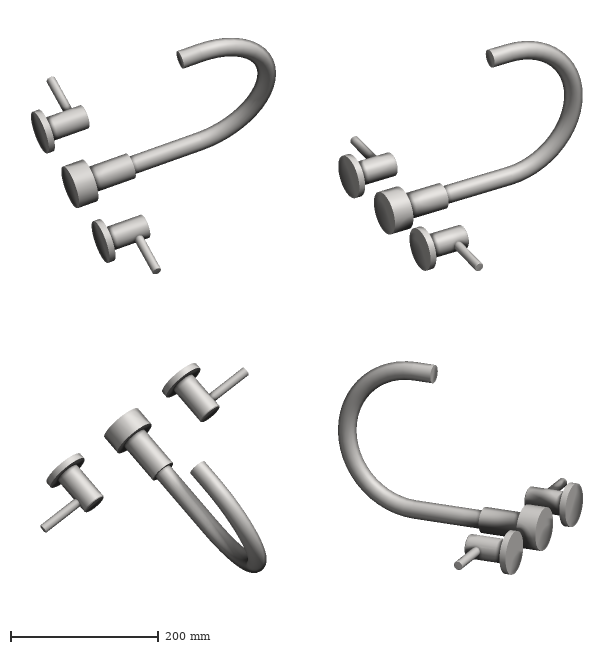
import cadquery as cq


OVERALL_WIDTH = 356.0
FLANGE_DIAMETER = 60.0

SPOUT_FLANGE_LENGTH = 28.5
SLEEVE_DIAMETER = 36.0
SLEEVE_END = 89.5
TUBE_DIAMETER = 25.3
BEND_RADIUS = 100.0
SPOUT_REACH = 304.3
OUTLET_LENGTH = 28.5
BEND_START = SPOUT_REACH - TUBE_DIAMETER / 2 - BEND_RADIUS

HANDLE_SPACING = 101.5
HANDLE_FLANGE_LENGTH = 9.0
HANDLE_DIAMETER = 33.5
HANDLE_END = 67.0
HANDLE_CHAMFER = 1.0
LEVER_DIAMETER = 12.8
LEVER_CENTER = 50.0
LEVER_CHAMFER = 0.7
LEVER_REACH = OVERALL_WIDTH / 2 - HANDLE_SPACING


def cylinder_along_y(diameter, end):
    """Round bar from the wall plane to Y = end."""
    return cq.Workplane("XZ").circle(diameter / 2).extrude(-end)


def make_spout():
    """Stepped base and a tube that bends back over itself through a half circle."""
    flange = cylinder_along_y(FLANGE_DIAMETER, SPOUT_FLANGE_LENGTH)
    sleeve = cylinder_along_y(SLEEVE_DIAMETER, SLEEVE_END)
    path = (
        cq.Workplane("YZ")
        .lineTo(BEND_START, 0)
        .threePointArc(
            (BEND_START + BEND_RADIUS, BEND_RADIUS),
            (BEND_START, 2 * BEND_RADIUS),
        )
        .lineTo(BEND_START - OUTLET_LENGTH, 2 * BEND_RADIUS)
    )
    tube = cq.Workplane("XZ").circle(TUBE_DIAMETER / 2).sweep(path)
    return flange.union(sleeve).union(tube)


def make_handle(side):
    """Flanged handle with its lever pointing to +X (side = 1) or -X (side = -1)."""
    flange = cylinder_along_y(FLANGE_DIAMETER, HANDLE_FLANGE_LENGTH)
    barrel = cylinder_along_y(HANDLE_DIAMETER, HANDLE_END).faces(">Y").chamfer(HANDLE_CHAMFER)
    lever = (
        cq.Workplane("YZ")
        .center(LEVER_CENTER, 0)
        .circle(LEVER_DIAMETER / 2)
        .extrude(side * LEVER_REACH)
        .faces(">X" if side > 0 else "<X")
        .chamfer(LEVER_CHAMFER)
    )
    handle = flange.union(barrel).union(lever)
    return handle.translate((side * HANDLE_SPACING, 0, 0))


spout = make_spout()
handles = [make_handle(side) for side in (-1, 1)]

result = cq.Compound.makeCompound([spout.val(), *[handle.val() for handle in handles]])